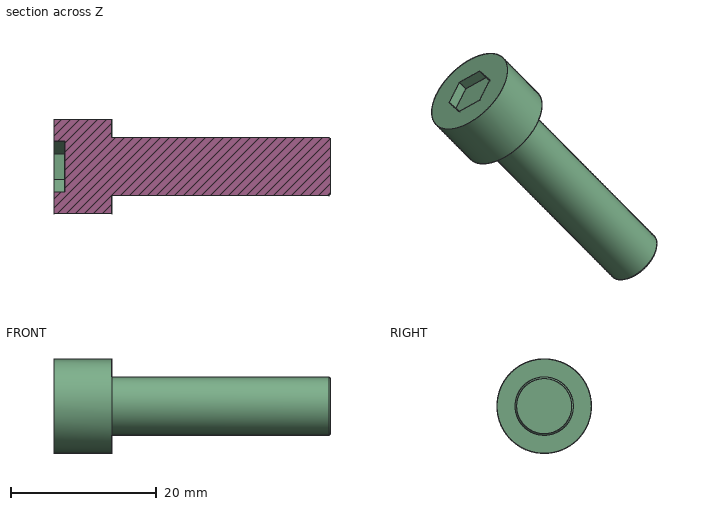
import cadquery as cq
import math

total_length = 38
head_diameter = 13.0
shank_diameter = 8.0
head_height = 7.98
tip_chamfer = 0.23
socket_across_flats = 6.0
socket_depth = 1.5

socket_across_corners = socket_across_flats / math.cos(math.pi / 6)
head_face_x = -total_length / 2


def make_head():
    return cq.Workplane("YZ", origin=(head_face_x, 0, 0)).circle(head_diameter / 2).extrude(head_height)


def make_shank():
    shank = cq.Workplane("YZ", origin=(head_face_x, 0, 0)).circle(shank_diameter / 2).extrude(total_length)
    return shank.faces(">X").chamfer(tip_chamfer)


def make_socket():
    socket_plane = cq.Workplane("YZ", origin=(head_face_x, 0, 0))
    return socket_plane.polygon(6, socket_across_corners).extrude(socket_depth)


result = make_head().union(make_shank()).cut(make_socket())